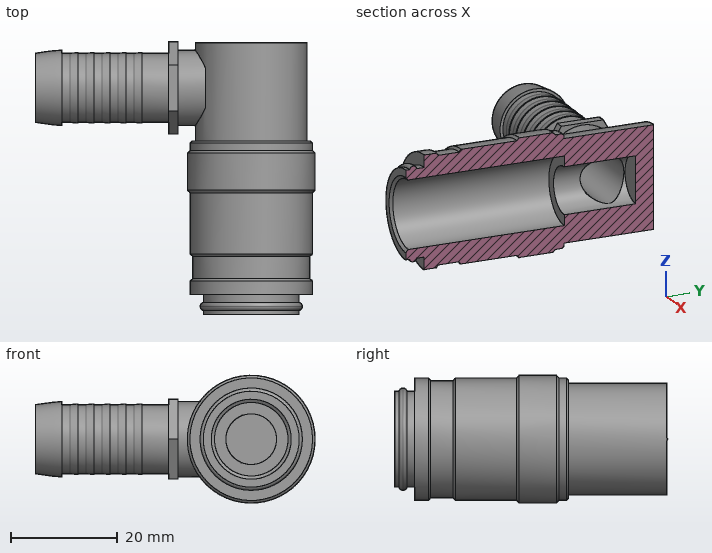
import cadquery as cq
import math


stem_dia = 21.0
sleeve_dia = 23.0
ring_dia = 24.0
groove_dia = 22.0
neck_dia = 18.0

stem_back_y = 8.5
sleeve_back_y = -9.95
ring_back_y = -11.75
ring_front_y = -19.7
groove_back_y = -31.2
groove_front_y = -36.2
sleeve_front_y = -38.8
neck_front_y = -42.55

sleeve_chamfer = 0.4
ring_back_chamfer = (ring_dia - sleeve_dia) / 2
ring_front_chamfer = (ring_dia - sleeve_dia) / 2
groove_wall_run = 0.4

seal_section_radius = 0.8
seal_outer_dia = 19.2
seal_y = -41.0

socket_dia = 13.8
socket_mouth_dia = 15.0
socket_mouth_depth = 0.5
socket_floor_y = sleeve_back_y
passage_dia = 9.5
passage_end_y = passage_dia / 2

tail_tip_x = -40.5
tail_dia = 13.0
tail_bore_dia = 9.0
barb_dia = 14.2
barb_length = 5.0
barb_bulge = 0.08
rib_count = 5
rib_width = 1.5
rib_pitch = 2 * rib_width
rib_height = 0.15

hex_across_flats = 15.0
hex_outer_x = -15.5
hex_thickness = 1.8
shank_dia = 14.2
shank_end_x = -8.6


def turned_about_y(outline):
    """Revolve an XY outline about the coupling axis."""
    return outline.close().revolve(360, (0, 0, 0), (0, 1, 0))


def turned_about_x(outline):
    """Revolve an XY outline about the hose axis."""
    return outline.close().revolve(360, (0, 0, 0), (1, 0, 0))


def make_coupling_body():
    stem_r = stem_dia / 2
    sleeve_r = sleeve_dia / 2
    ring_r = ring_dia / 2
    groove_r = groove_dia / 2
    neck_r = neck_dia / 2
    outline = (
        cq.Workplane("XY")
        .moveTo(0, stem_back_y)
        .lineTo(stem_r, stem_back_y)
        .lineTo(stem_r, sleeve_back_y)
        .lineTo(sleeve_r - sleeve_chamfer, sleeve_back_y)
        .lineTo(sleeve_r, sleeve_back_y - sleeve_chamfer)
        .lineTo(sleeve_r, ring_back_y)
        .lineTo(ring_r, ring_back_y - ring_back_chamfer)
        .lineTo(ring_r, ring_front_y + ring_front_chamfer)
        .lineTo(sleeve_r, ring_front_y)
        .lineTo(sleeve_r, groove_back_y)
        .lineTo(groove_r, groove_back_y - groove_wall_run)
        .lineTo(groove_r, groove_front_y + groove_wall_run)
        .lineTo(sleeve_r, groove_front_y)
        .lineTo(sleeve_r, sleeve_front_y)
        .lineTo(neck_r, sleeve_front_y)
        .lineTo(neck_r, neck_front_y)
        .lineTo(0, neck_front_y)
    )
    return turned_about_y(outline)


def make_seal_ring():
    section_center = seal_outer_dia / 2 - seal_section_radius
    section = cq.Workplane("XY").center(section_center, seal_y).circle(seal_section_radius)
    return section.revolve(360, (-section_center, 0, 0), (-section_center, 1, 0))


def make_hose_tail():
    """Hose tail with a crowned end barb, running up to the hexagon."""
    tail_r = tail_dia / 2
    barb_r = barb_dia / 2
    barb_end_x = tail_tip_x + barb_length
    crown_point = (tail_tip_x + barb_length / 2, (tail_r + barb_r) / 2 + barb_bulge)
    outline = (
        cq.Workplane("XY")
        .moveTo(tail_tip_x, 0)
        .lineTo(tail_tip_x, tail_r)
        .threePointArc(crown_point, (barb_end_x, barb_r))
        .lineTo(barb_end_x, tail_r)
    )
    for index in range(rib_count):
        rib_start_x = barb_end_x + rib_width + index * rib_pitch
        rib_end_x = rib_start_x + rib_width
        outline = (
            outline.lineTo(rib_start_x, tail_r)
            .lineTo(rib_end_x, tail_r + rib_height)
            .lineTo(rib_end_x, tail_r)
        )
    outline = outline.lineTo(hex_outer_x, tail_r).lineTo(hex_outer_x, 0)
    return turned_about_x(outline)


def make_hexagon():
    across_corners = hex_across_flats / math.cos(math.pi / 6)
    plane = cq.Workplane("YZ", origin=(hex_outer_x, 0, 0))
    return plane.polygon(6, across_corners).extrude(hex_thickness)


def make_shank():
    """Shank ending in a flat face, with only its sides running into the stem."""
    plane = cq.Workplane("YZ", origin=(hex_outer_x, 0, 0))
    return plane.circle(shank_dia / 2).extrude(shank_end_x - hex_outer_x)


def make_socket_bore():
    """Stepped bore with a chamfered mouth, open at the neck and closed at the stem."""
    socket_r = socket_dia / 2
    passage_r = passage_dia / 2
    outline = (
        cq.Workplane("XY")
        .moveTo(0, neck_front_y)
        .lineTo(socket_mouth_dia / 2, neck_front_y)
        .lineTo(socket_r, neck_front_y + socket_mouth_depth)
        .lineTo(socket_r, socket_floor_y)
        .lineTo(passage_r, socket_floor_y)
        .lineTo(passage_r, passage_end_y)
        .lineTo(0, passage_end_y)
    )
    return turned_about_y(outline)


def make_tail_bore():
    plane = cq.Workplane("YZ", origin=(tail_tip_x, 0, 0))
    return plane.circle(tail_bore_dia / 2).extrude(-tail_tip_x)


outer = (
    make_coupling_body()
    .union(make_seal_ring())
    .union(make_hose_tail())
    .union(make_hexagon())
    .union(make_shank())
)
result = outer.cut(make_socket_bore()).cut(make_tail_bore())